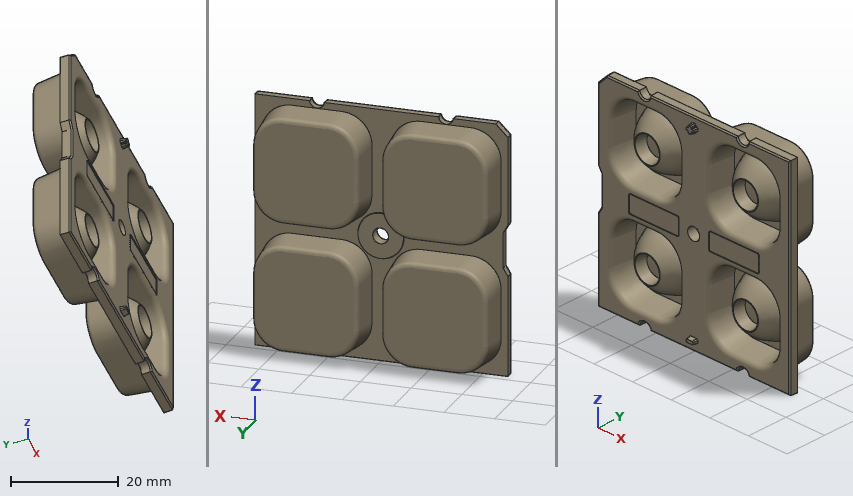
import cadquery as cq
plate_size = 49.9
plate_thickness = 2.05
side_draft = 1.5
front_chamfer = 0.3
corner_cut = 2.4
half = plate_size / 2

edge_recess_depth = 0.95
edge_recess_half_outer = 5.1
edge_recess_half_inner = 3.5

notch_radius = 1.45
notch_centre_out = 0.15

pod_offset = 12.7
pod_base_size = 21.75
pod_end_size = 20.7
pod_corner_radius = 6.0
pod_back = 8.55
pod_edge_round = 0.9

cavity_floor = 6.4
cavity_floor_size = 16.65
cavity_floor_radius = 5.35
cavity_draft = 7.0
mouth_round = 1.25
mouth_margin = 0.5

dome_base_radius = 7.25
dome_middle_radius = 5.8
dome_middle = 3.4
dome_tip_radius = 3.35
dome_tip = 0.75
socket_mouth_radius = 3.15
socket_floor_radius = 2.8
socket_floor = 3.55
socket_bulge = 0.3

hole_radius = 1.55
boss_radius = 4.5
boss_height = 0.45
boss_back = plate_thickness + boss_height

label_offset = 10.4
label_length = 12.9
label_height = 4.3
label_corner_radius = 0.4
label_depth = 0.2

mark_offset = 22.45
mark_length = 2.2
mark_width = 1.15
mark_corner_cut = 0.3
mark_height = 1.1
mark_taper = 12.0

pod_centres = [(x, z) for x in (-pod_offset, pod_offset) for z in (-pod_offset, pod_offset)]


def front_plane(y):
    """Workplane parallel to XZ at the given Y; positive extrusion runs toward -Y."""
    return cq.Workplane("XZ", origin=(0, y, 0))


def rounded_square(size, radius):
    return cq.Sketch().rect(size, size).vertices().fillet(radius)


def at_pods(shape):
    """Copies of the shape on all four pod centres."""
    copies = cq.Workplane()
    for x, z in pod_centres:
        copies = copies.add(shape.translate((x, 0, z)))
    return copies.combine()


def make_plate():
    """Notched plate with sides that lean in toward its chamfered front face."""
    notch_z = half + notch_centre_out
    recess_edge = -half + edge_recess_depth
    plate = (
        front_plane(plate_thickness)
        .moveTo(-half, -half)
        .lineTo(half, -half)
        .lineTo(half, half)
        .lineTo(-half + corner_cut, half)
        .lineTo(-half, half - corner_cut)
        .lineTo(-half, edge_recess_half_outer)
        .lineTo(recess_edge, edge_recess_half_inner)
        .lineTo(recess_edge, -edge_recess_half_inner)
        .lineTo(-half, -edge_recess_half_outer)
        .close()
        .extrude(plate_thickness, taper=side_draft)
    )
    notches = (
        front_plane(plate_thickness)
        .pushPoints([(x, z) for x in (-pod_offset, pod_offset) for z in (-notch_z, notch_z)])
        .circle(notch_radius)
        .extrude(plate_thickness, taper=-side_draft)
    )
    return plate.cut(notches).faces("<Y").chamfer(front_chamfer)


def make_pod():
    """Rounded square block that narrows toward its back and keeps its corner radius."""
    base = rounded_square(pod_base_size, pod_corner_radius)
    end = rounded_square(pod_end_size, pod_corner_radius)
    to_back = cq.Location(cq.Vector(0, 0, plate_thickness - pod_back))
    pod = front_plane(plate_thickness).placeSketch(base, end.moved(to_back)).loft()
    return pod.faces(">Y").edges().fillet(pod_edge_round)


def make_dome():
    """Convex dome about the Y axis with a tapered socket in its tip; the socket floor bulges to the front."""
    bulge_radius = (socket_floor_radius**2 + socket_bulge**2) / (2 * socket_bulge)
    return (
        cq.Workplane("XY")
        .moveTo(0, cavity_floor)
        .lineTo(dome_base_radius, cavity_floor)
        .threePointArc((dome_middle_radius, dome_middle), (dome_tip_radius, dome_tip))
        .lineTo(socket_mouth_radius, dome_tip)
        .lineTo(socket_floor_radius, socket_floor)
        .radiusArc((0, socket_floor - socket_bulge), bulge_radius)
        .close()
        .revolve(360, (0, 0), (0, 1))
    )


def make_cavity():
    """Rounded square cavity that widens from its floor to the front face."""
    floor = rounded_square(cavity_floor_size, cavity_floor_radius)
    return front_plane(cavity_floor).placeSketch(floor).extrude(cavity_floor, taper=-cavity_draft)


def make_labels():
    label = cq.Sketch().rect(label_length, label_height).vertices().fillet(label_corner_radius)
    return (
        front_plane(label_depth)
        .pushPoints([(-label_offset, 0), (label_offset, 0)])
        .placeSketch(label)
        .extrude(label_depth)
    )


def make_bar(z, angle):
    """Tapered mark bar with cut corners, standing on the front face."""
    outline = cq.Sketch().rect(mark_length, mark_width).vertices().chamfer(mark_corner_cut)
    bar = front_plane(0).placeSketch(outline).extrude(mark_height, taper=mark_taper)
    return bar.rotate((0, 0, 0), (0, 1, 0), angle).translate((0, 0, z))


def round_mouths(body):
    """Round the front edges of the cavities, leaving the edges around the plate alone."""
    reach = pod_offset + pod_base_size / 2 - mouth_margin
    around_mouths = cq.selectors.BoxSelector((-reach, -mouth_margin, -reach), (reach, mouth_margin, reach))
    return body.faces("<Y").edges(around_mouths).fillet(mouth_round)


def make_boss():
    return front_plane(boss_back).circle(boss_radius).extrude(boss_height)


def make_hole():
    return front_plane(boss_back).circle(hole_radius).extrude(boss_back)


body = make_plate().union(at_pods(make_pod())).cut(at_pods(make_cavity()))
body = round_mouths(body).union(at_pods(make_dome()))
body = body.union(make_boss()).cut(make_hole()).cut(make_labels())

plus_mark = make_bar(mark_offset, 0).union(make_bar(mark_offset, 90))
minus_mark = make_bar(-mark_offset, 0)
result = body.union(plus_mark).union(minus_mark).solids()